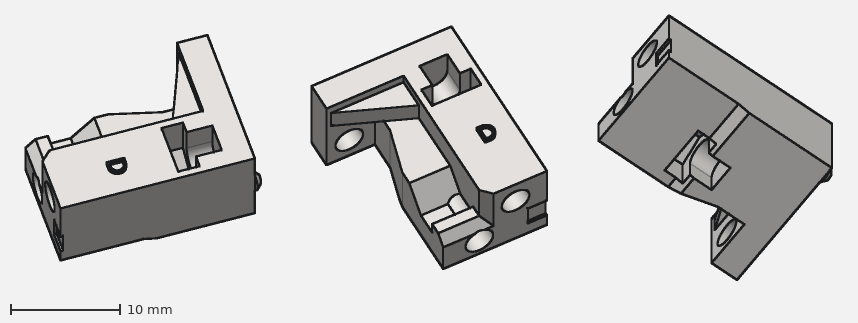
import cadquery as cq
import math


body_width = 14.48
body_depth = 18.64
body_height = 8.67
arm_thickness = 2.92
arm_front = body_depth - arm_thickness

flank_front_x = 3.75
flank_back_x = 5.0
taper_start_y = 7.95
taper_end_y = 12.75

relief_height = 0.41
relief_end_y = taper_start_y
relief_ramp_length = 1.22

cutout_wall_x = 7.98
shelf_z = 5.71
slope_top_y = 6.62
notch_floor_z = 3.45
notch_front_y = 2.17
lip_z = 4.73
corner_chamfer = 0.98

brace_start_x = 0.5
brace_top_z = 7.68
brace_front_y = taper_end_y

hole_diameter = 2.85
nut_flats = 5.1
nut_thickness = 2.05
screw_tip_length = 2.46
low_axis_z = 2.38
arm_hole_x = 2.36
upper_screw_x = 11.23
upper_screw_z = 6.15
upper_nut_y = 11.5
lower_screw_x = 7.49
lower_nut_y = 6.68

pin_x = 12.57
pin_diameter = 1.85
pin_length = 1.06
pin_chamfer = 0.5

label_width = 1.99
label_bottom_z = 1.9
label_height = 2.27
mark_relief = 0.25

mark_x = 11.0
mark_y = 5.5
mark_width = 1.4
mark_height = 1.7
mark_stroke = 0.22


def box(x, y, z, width, depth, height):
    """Box given by its lowest corner and its sizes."""
    return cq.Workplane("XY").box(width, depth, height, centered=False).translate((x, y, z))


def cylinder_along_y(x, z, diameter, start_y, end_y):
    """Cylinder parallel to Y between two Y positions."""
    length = end_y - start_y
    return cq.Workplane("XZ", origin=(x, start_y, z)).circle(diameter / 2).extrude(-length)


def body_block():
    """L-shaped block with a tapered flank and a relieved underside."""
    outline = [
        (flank_front_x, 0),
        (body_width, 0),
        (body_width, body_depth),
        (0, body_depth),
        (0, arm_front),
        (flank_back_x, arm_front),
        (flank_back_x, taper_end_y),
        (flank_front_x, taper_start_y),
    ]
    relief_profile = [
        (0, 0),
        (relief_end_y + relief_ramp_length, 0),
        (relief_end_y, relief_height),
        (0, relief_height),
    ]
    block = cq.Workplane("XY").polyline(outline).close().extrude(body_height)
    relief = cq.Workplane("YZ").polyline(relief_profile).close().extrude(body_width)
    return block.cut(relief)


def upper_cutout():
    """Volume above the stepped floor, bounded by the cutout wall and its corner chamfer."""
    slope_bottom_y = slope_top_y - (shelf_z - notch_floor_z)
    floor_profile = [
        (0, lip_z - corner_chamfer),
        (corner_chamfer, lip_z),
        (notch_front_y, lip_z),
        (notch_front_y, notch_floor_z),
        (slope_bottom_y, notch_floor_z),
        (slope_top_y, shelf_z),
        (arm_front, shelf_z),
        (arm_front, body_height),
        (0, body_height),
    ]
    plan = [
        (0, 0),
        (cutout_wall_x + corner_chamfer, 0),
        (cutout_wall_x, corner_chamfer),
        (cutout_wall_x, arm_front),
        (0, arm_front),
    ]
    above_floor = cq.Workplane("YZ").polyline(floor_profile).close().extrude(body_width)
    return above_floor.intersect(cq.Workplane("XY").polyline(plan).close().extrude(body_height))


def brace():
    """Triangular web filling the corner between the arm and the cutout wall."""
    plan = [
        (brace_start_x, arm_front),
        (cutout_wall_x, brace_front_y),
        (cutout_wall_x, arm_front),
    ]
    base = cq.Workplane("XY", origin=(0, 0, shelf_z))
    return base.polyline(plan).close().extrude(brace_top_z - shelf_z)


def screw_and_nut_pocket(x, z, nut_y, open_z):
    """Blind screw hole from the front with a hexagonal nut pocket and a
    screw tip channel, both open towards the face at open_z."""
    nut_end_y = nut_y + nut_thickness
    hole_end_y = nut_end_y + screw_tip_length
    low_z = min(z, open_z)
    opening_height = abs(open_z - z)

    hole = cylinder_along_y(x, z, hole_diameter, 0, hole_end_y)
    hexagon = (
        cq.Workplane("XZ", origin=(x, nut_y, z))
        .transformed(rotate=(0, 0, 90))
        .polygon(6, nut_flats / math.cos(math.pi / 6))
        .extrude(-nut_thickness)
    )
    nut_slot = box(x - nut_flats / 2, nut_y, low_z, nut_flats, nut_thickness, opening_height)
    tip_slot = box(
        x - hole_diameter / 2, nut_end_y, low_z, hole_diameter, screw_tip_length, opening_height
    )
    return hole.union(hexagon).union(nut_slot).union(tip_slot)


def pin():
    """Chamfered pin standing on the back face."""
    end_y = body_depth + pin_length
    shank = cylinder_along_y(pin_x, low_axis_z, pin_diameter, body_depth, end_y)
    return shank.faces(">Y").chamfer(pin_chamfer)


def d_outline(x, y, width, height, rise):
    """Solid D: straight left side and a semicircular right side."""
    radius = height / 2
    return (
        cq.Workplane("XY", origin=(x, y, body_height))
        .lineTo(width - radius, 0)
        .threePointArc((width, radius), (width - radius, height))
        .lineTo(0, height)
        .close()
        .extrude(rise)
    )


def code_mark():
    """Raised D-shaped ring of constant stroke width."""
    outer = d_outline(mark_x, mark_y, mark_width, mark_height, mark_relief)
    inner = d_outline(
        mark_x + mark_stroke,
        mark_y + mark_stroke,
        mark_width - 2 * mark_stroke,
        mark_height - 2 * mark_stroke,
        mark_relief,
    )
    return outer.cut(inner)


arm_hole = cylinder_along_y(arm_hole_x, low_axis_z, hole_diameter, arm_front, body_depth)
upper_pocket = screw_and_nut_pocket(upper_screw_x, upper_screw_z, upper_nut_y, body_height)
lower_pocket = screw_and_nut_pocket(lower_screw_x, low_axis_z, lower_nut_y, 0)
label_recess = box(
    body_width - label_width, 0, label_bottom_z, label_width, mark_relief, label_height
)

result = (
    body_block()
    .cut(upper_cutout())
    .union(brace())
    .cut(arm_hole)
    .cut(upper_pocket)
    .cut(lower_pocket)
    .cut(label_recess)
    .union(pin())
    .union(code_mark())
)